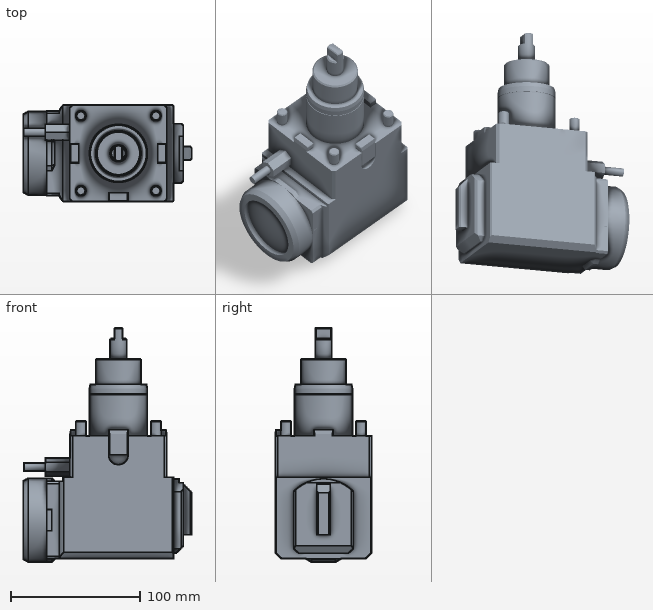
import cadquery as cq
import math


width = 75.0
half_width = width / 2
base_bottom = 2.7
base_top = 65.7
base_left = -43.2
base_right = 42.8
base_edge_chamfer = 1.0
bottom_chamfer = 4.7
block_top = 97.6
block_corner = 2.2

axis_z = 32.5
collar_radius = 32.5
collar_left = -73.7
collar_right = -55.4
collar_chamfer_length = 4.0
collar_chamfer_depth = 2.2
recess_radius = 24.5
recess_depth = 4.0
rim_corner_apothem = 32.9
rim_right = -49.2
plate_half_width = half_width - bottom_chamfer
plate_top = 62.6
plate_right = -45.7
plate_edge_chamfer = 1.8
neck_right = -42.5
neck_sagitta = 0.4
rim_chamfer = axis_z + collar_radius - plate_top

cover_radius = 32.0
cover_half_width = 23.0
cover_right = 50.3
cover_bottom = 6.9
cover_bottom_chamfer = 5.6
cover_edge_chamfer = 1.6
cover_notch_left = 47.0
cover_notch_floor = 61.5
tab_right = 56.8
tab_thickness = 10.7
tab_bottom = 21.0
tab_top = 60.3
tab_slope_length = tab_right - cover_right
tab_edge_chamfer = 1.3

shank_radius = 22.5
shank_top = 137.5
shank_taper_height = 3.3
shank_taper_depth = 0.7
shank_groove_z = 129.8
shank_groove_width = 0.7
shank_groove_depth = 0.4
pilot_radius = 17.6
pilot_top = 157.5
shaft_radius = 6.5
shaft_top = 173.2
tang_thickness = 6.4
tang_top = 181.5
tang_chamfer = 0.7
step_chamfer = 1.0

screw_radius = 4.0
screw_offset = 29.0
screw_top = 109.3
screw_chamfer = 0.7
key_width = 15.0
key_depth = 6.9
key_top = 102.5
key_slope_height = 3.5
key_slope_depth = 0.7
key_side_chamfer = 0.7
key_top_chamfer = 0.5
slot_center_z = 83.0

nozzle_y = 16.3
nozzle_z = 73.5
hex_across_flats = 12.3
hex_left = -56.5
pipe_radius = 3.18
pipe_left = -73.1


def box(x_min, x_max, y_min, y_max, z_min, z_max):
    """Box given by its limits."""
    size = (x_max - x_min, y_max - y_min, z_max - z_min)
    return cq.Workplane("XY").box(*size, centered=False).translate((x_min, y_min, z_min))


def disc_x(radius, x_min, x_max, y, z):
    """Cylinder along X."""
    return cq.Workplane("YZ", origin=(x_min, y, z)).circle(radius).extrude(x_max - x_min)


def hexagon_x(across_flats, x_min, x_max, y, z, turn):
    """Hexagonal prism along X; at turn 0 two of its corners lie along Y."""
    return (
        cq.Workplane("YZ", origin=(x_min, y, z))
        .transformed(rotate=(0, 0, turn))
        .polygon(6, across_flats / math.cos(math.pi / 6))
        .extrude(x_max - x_min)
    )


def make_base():
    """Lower housing with the nose plate, cut from one plan outline."""
    plan = (
        cq.Workplane("XY", origin=(0, 0, base_bottom))
        .moveTo(base_right, -half_width)
        .lineTo(neck_right, -half_width)
        .sagittaArc((plate_right, -plate_half_width), neck_sagitta)
        .lineTo(collar_right, -plate_half_width)
        .lineTo(collar_right, plate_half_width)
        .lineTo(plate_right, plate_half_width)
        .sagittaArc((neck_right, half_width), neck_sagitta)
        .lineTo(base_right, half_width)
        .close()
        .extrude(base_top - base_bottom)
        .faces(">X").edges("|Z").chamfer(base_edge_chamfer)
    )
    body_section = (
        box(plate_right, base_right, -half_width, half_width, base_bottom, base_top)
        .faces("<Z").edges("|X").chamfer(bottom_chamfer)
    )
    plate_section = (
        box(collar_right, plate_right, -plate_half_width, plate_half_width, base_bottom, plate_top)
        .edges("|X").chamfer(plate_edge_chamfer)
    )
    ledge = box(collar_right, base_left, -half_width, half_width, plate_top, base_top)
    return plan.intersect(body_section.union(plate_section)).cut(ledge)


def make_block():
    """Upper housing, square in plan."""
    return (
        box(-half_width, half_width, -half_width, half_width, base_top, block_top)
        .edges("|Z").chamfer(block_corner)
    )


def make_collar():
    collar = (
        disc_x(collar_radius, collar_left, collar_right, 0, axis_z)
        .faces("<X").chamfer(collar_chamfer_length, collar_chamfer_depth)
    )
    recess = disc_x(recess_radius, collar_left, collar_left + recess_depth, 0, axis_z)
    rim = (
        hexagon_x(2 * collar_radius, collar_right, rim_right, 0, axis_z, 0)
        .intersect(hexagon_x(2 * rim_corner_apothem, collar_right, rim_right, 0, axis_z, 30))
        .faces(">X").chamfer(rim_chamfer)
    )
    return collar.union(rim).cut(recess)


def make_cover():
    disc = disc_x(cover_radius, base_right, cover_right, 0, axis_z)
    envelope = (
        box(base_right, cover_right, -cover_half_width, cover_half_width, cover_bottom, block_top)
        .faces(">X").edges("|Z").chamfer(cover_edge_chamfer)
        .faces(">X").edges("<Z").chamfer(cover_bottom_chamfer)
    )
    notch = box(cover_notch_left, cover_right, -half_width, half_width, cover_notch_floor, block_top)
    return disc.intersect(envelope).cut(notch)


def make_tab():
    return (
        cq.Workplane("XZ")
        .moveTo(base_right, tab_bottom)
        .lineTo(tab_right, tab_bottom)
        .lineTo(tab_right, tab_top - tab_slope_length)
        .lineTo(cover_right, tab_top)
        .lineTo(base_right, tab_top)
        .close()
        .extrude(tab_thickness / 2, both=True)
        .faces(">X").edges("|Z").chamfer(tab_edge_chamfer)
    )


def make_spindle():
    def step(radius, top):
        return cq.Workplane("XY", origin=(0, 0, base_top)).circle(radius).extrude(top - base_top)

    shank = step(shank_radius, shank_top).faces(">Z").chamfer(shank_taper_height, shank_taper_depth)
    groove = (
        cq.Workplane("XY", origin=(0, 0, shank_groove_z - shank_groove_width / 2))
        .circle(shank_radius)
        .circle(shank_radius - shank_groove_depth)
        .extrude(shank_groove_width)
    )
    pilot = step(pilot_radius, pilot_top).faces(">Z").chamfer(step_chamfer)
    shaft = step(shaft_radius, shaft_top).faces(">Z").chamfer(step_chamfer)
    half_tang = tang_thickness / 2
    tang = (
        step(shaft_radius, tang_top)
        .intersect(box(-half_tang, half_tang, -shaft_radius, shaft_radius, base_top, tang_top))
        .faces(">Z").chamfer(tang_chamfer)
    )
    return shank.cut(groove).union(pilot).union(shaft).union(tang)


def make_screws():
    return (
        cq.Workplane("XY", origin=(0, 0, base_top))
        .rect(2 * screw_offset, 2 * screw_offset, forConstruction=True)
        .vertices()
        .circle(screw_radius)
        .extrude(screw_top - base_top)
        .faces(">Z").chamfer(screw_chamfer)
    )


def make_key():
    """Key at the -Y face, reaching down to the centre of the round slot end."""
    return (
        box(-key_width / 2, key_width / 2, -half_width, key_depth - half_width, slot_center_z, key_top)
        .faces("<Y").edges("|Z").chamfer(key_side_chamfer)
        .faces("<Y").edges(">Z").chamfer(key_slope_depth, key_slope_height)
        .faces(">Z").edges("|Y").chamfer(key_top_chamfer)
    )


def make_slot():
    """Slot in the -Y face with a round lower end."""
    slot_radius = key_width / 2
    start = cq.Workplane("XZ", origin=(0, key_depth - half_width, slot_center_z))
    round_end = start.circle(slot_radius).extrude(key_depth)
    straight = box(
        -slot_radius, slot_radius, -half_width, key_depth - half_width, slot_center_z, block_top
    )
    return round_end.union(straight)


def make_nozzle():
    hexagon = hexagon_x(hex_across_flats, hex_left, -half_width, nozzle_y, nozzle_z, 30)
    return hexagon.union(disc_x(pipe_radius, pipe_left, hex_left, nozzle_y, nozzle_z))


result = make_base().union(make_block()).cut(make_slot())
for key_angle in (0, 90, -90):
    result = result.union(make_key().rotate((0, 0, 0), (0, 0, 1), key_angle))
for feature in (
    make_collar(), make_cover(), make_tab(), make_spindle(), make_screws(), make_nozzle()
):
    result = result.union(feature)